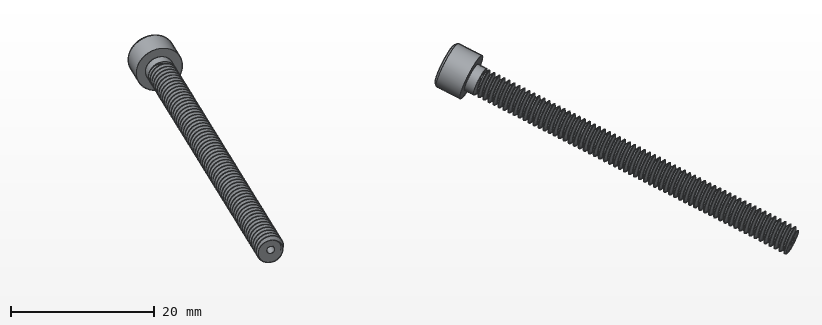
import cadquery as cq
import math

INCH = 25.4

head_diameter = 6.76
head_height = 4.11
head_chamfer = 0.35
socket_across_flats = 9 / 64 * INCH
socket_depth = head_height / 2

nominal_length = 2 * INCH
shank_length = 1.4
major_diameter = 0.161 * INCH
vent_diameter = 1.15

pitch = INCH / 32
thread_start = 1.2
thread_depth = 0.613 * pitch
crest_width = pitch / 8
root_width = pitch - crest_width

root_overlap = 0.02
crest_clearance = 0.01

head_radius = head_diameter / 2
major_radius = major_diameter / 2
crest_radius = major_radius - crest_clearance
root_radius = crest_radius - thread_depth
vent_radius = vent_diameter / 2
tip_allowance = 2 * pitch
blank_end = nominal_length + tip_allowance

thread_turns = math.ceil((nominal_length + root_width / 2 - thread_start) / pitch)
thread_length = thread_turns * pitch


def make_body():
    """Chamfered head, plain shank and overlong thread core, revolved around the vent hole."""
    half_section = [
        (-head_height, vent_radius),
        (-head_height, head_radius - head_chamfer),
        (-head_height + head_chamfer, head_radius),
        (0, head_radius),
        (0, major_radius),
        (shank_length, major_radius),
        (shank_length, root_radius),
        (blank_end, root_radius),
        (blank_end, vent_radius),
    ]
    return cq.Workplane("XZ").polyline(half_section).close().revolve(360, (0, 0), (1, 0))


def make_socket():
    """Hexagonal socket with corners pointing to +Z and -Z."""
    across_corners = socket_across_flats / math.cos(math.pi / 6)
    hexagon = cq.Workplane("YZ", origin=(-head_height, 0, 0)).polygon(6, across_corners)
    return hexagon.extrude(socket_depth).rotate((0, 0, 0), (1, 0, 0), 90)


def make_helix(radius, axial_offset):
    """One right-handed turn around Z, shifted along Z by the given offset."""
    helix = cq.Wire.makeHelix(pitch, pitch, radius)
    return helix.translate(cq.Vector(0, 0, axial_offset))


def make_start_cap(helices):
    """Flat trapezoid that closes the ridge where the helices begin."""
    corners = [helix.startPoint() for helix in helices]
    return cq.Face.makeFromWires(cq.Wire.makePolygon(corners, close=True))


def make_thread_ridge():
    """Trapezoidal helical ridge with its base sunk slightly into the thread core."""
    flank_slope = (root_width - crest_width) / 2 / thread_depth
    base_half = root_width / 2 + root_overlap * flank_slope
    crest_half = crest_width / 2
    base_radius = root_radius - root_overlap
    helices = [
        make_helix(base_radius, -base_half),
        make_helix(crest_radius, -crest_half),
        make_helix(crest_radius, crest_half),
        make_helix(base_radius, base_half),
    ]

    next_helices = helices[1:] + helices[:1]
    turn = [cq.Face.makeRuledSurface(a, b) for a, b in zip(helices, next_helices)]
    start_cap = make_start_cap(helices)
    faces = [start_cap, start_cap.translate(cq.Vector(0, 0, thread_length))]
    for index in range(thread_turns):
        step = cq.Vector(0, 0, index * pitch)
        faces += [face.translate(step) for face in turn]
    ridge = cq.Workplane(obj=cq.Solid.makeSolid(cq.Shell.makeShell(faces)))

    ridge = ridge.rotate((0, 0, 0), (0, 1, 0), 90)
    ridge = ridge.rotate((0, 0, 0), (1, 0, 0), 180)
    return ridge.translate((thread_start, 0, 0))


def make_tip_trim():
    """Cylinder that cuts the core and the thread off square at the nominal length."""
    tip_plane = cq.Workplane("YZ", origin=(nominal_length, 0, 0))
    return tip_plane.circle(head_radius).extrude(2 * tip_allowance)


threaded_blank = make_body().cut(make_socket()).union(make_thread_ridge())
result = threaded_blank.cut(make_tip_trim())